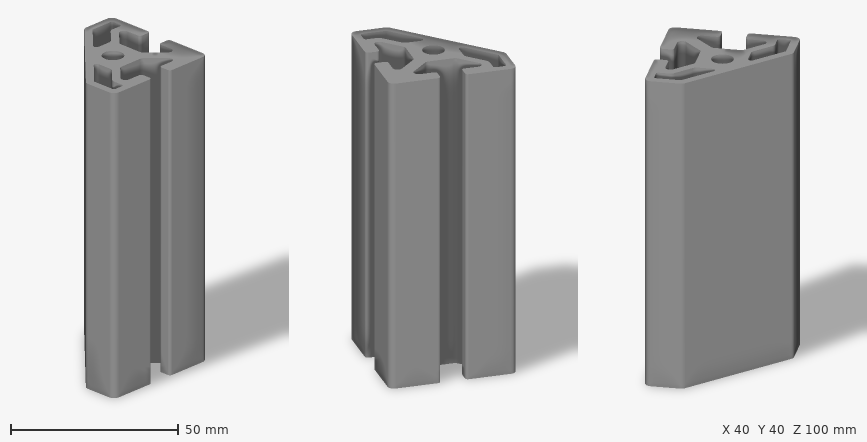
import cadquery as cq
import math

length = 100.0
side = 40.0
half = side / 2
cut_leg = 28.2
bore_diameter = 6.8

slot_opening = 7.8
lip_thickness = 4.4
core_half = 7.5
floor_half_width = 4.6

wall = 2.5
chamber_width = 4.1

outer_radius = 2.0
lip_radius = 0.9
slot_tip_radius = 1.5
floor_radius = 1.5
chamber_radius = 0.7
chamber_bend_radius = 2.0
chamber_tip_radius = 1.0

wall_shift = wall * math.sqrt(2)
overshoot = 1.0


def prism(points):
    return cq.Workplane("XY").polyline(points).close().extrude(length)


def round_edges(body, points, radius):
    """Fillet the vertical edges that stand on the given profile points."""
    reach = 0.01
    for x, y in points:
        corner = cq.selectors.BoxSelector(
            (x - reach, y - reach, 0), (x + reach, y + reach, length)
        )
        body = body.edges("|Z").edges(corner).fillet(radius)
    return body


def mirror_diagonal(points):
    """Swap x and y to move a feature across the symmetry line."""
    return [(y, x) for x, y in points]


def keep_side(points):
    return points


def make_blank():
    cut_end = cut_leg - half
    points = [(-half, half), (half, half), (half, -half), (cut_end, -half), (-half, cut_end)]
    return round_edges(prism(points), points, outer_radius)


def cut_slot(body, place):
    lip_inner = half - lip_thickness
    opening_half = slot_opening / 2
    tip = floor_half_width + lip_inner - core_half
    right = [
        (floor_half_width, core_half),
        (tip, lip_inner),
        (opening_half, lip_inner),
        (opening_half, half + overshoot),
    ]
    left = [(-x, y) for x, y in reversed(right)]
    cutter = prism(place(right + left))
    cutter = round_edges(cutter, place([right[0], left[3]]), floor_radius)
    cutter = round_edges(cutter, place([right[1], left[2]]), slot_tip_radius)
    body = body.cut(cutter)
    lip_corners = [(s * opening_half, y) for s in (-1, 1) for y in (lip_inner, half)]
    return round_edges(body, place(lip_corners), lip_radius)


def cut_chamber(body, place):
    outer_x = wall - half
    narrow_x = outer_x + chamber_width
    core_x = -core_half
    top = half - wall
    lower_sum = cut_leg - side + wall_shift
    upper_sum = core_half - floor_half_width - wall_shift
    points = [
        (outer_x, top),
        (narrow_x, top),
        (narrow_x, upper_sum - narrow_x),
        (core_x, upper_sum - core_x),
        (core_x, lower_sum - core_x),
        (outer_x, lower_sum - outer_x),
    ]
    cutter = prism(place(points))
    cutter = round_edges(cutter, place(points[:2]), chamber_radius)
    cutter = round_edges(cutter, place(points[2:4]), chamber_bend_radius)
    cutter = round_edges(cutter, place(points[4:5]), chamber_tip_radius)
    return body.cut(cutter)


result = make_blank()
for place in (keep_side, mirror_diagonal):
    result = cut_slot(result, place)
    result = cut_chamber(result, place)

bore = cq.Workplane("XY").circle(bore_diameter / 2).extrude(length)
result = result.cut(bore)